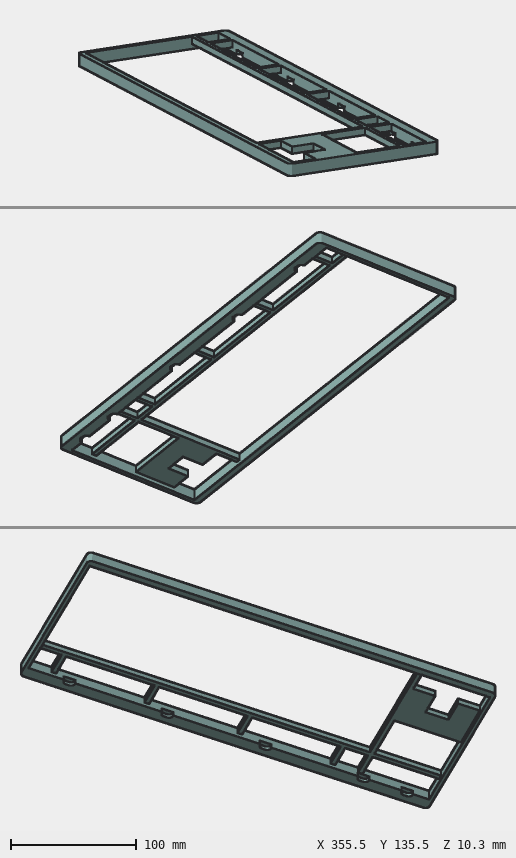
import cadquery as cq

length = 355.5
width = 135.5
height = 10.3
corner_radius = 4.0

main_columns = 15
main_rows = 5
nav_columns = 3
main_length = 286.0
key_pitch = main_length / main_columns
key_clearance = 0.7
block_gap = key_pitch / 4
function_blocks = (1, 4, 4, 4, 1)
front_border = 6.0

rib_clearance = 4.3
notch_length = 10.0
notch_depth = 4.0
notch_height = 4.0
notch_radius = 3.5
notch_spacing = 85.5
notch_row_count = 4
first_notch = -138.7
end_notch = 155.5

grid_length = (main_columns + nav_columns) * key_pitch + block_gap
grid_left = -grid_length / 2
grid_front = -width / 2 + front_border
nav_left = grid_left + main_columns * key_pitch + block_gap
function_front = grid_front + main_rows * key_pitch + block_gap
grid_width = function_front + key_pitch - grid_front
rear_wall = function_front + key_pitch + key_clearance / 2


def clearance_block(left, front, size_x, size_y, size_z):
    """Upright block from the bottom face, enlarged all round by the key play."""
    return (
        cq.Workplane("XY")
        .center(left + size_x / 2, front + size_y / 2)
        .rect(size_x + key_clearance, size_y + key_clearance)
        .extrude(size_z)
    )


def key_opening(left, front, columns, rows):
    """Through opening for a block of keys whose front left corner is given."""
    return clearance_block(left, front, columns * key_pitch, rows * key_pitch, height)


def wall_notch(center_x):
    """Round-cornered notch in the bottom of the rear wall, open to the inside."""
    return (
        cq.Workplane("XY")
        .center(center_x, rear_wall)
        .rect(notch_length, 2 * notch_depth)
        .extrude(notch_height)
        .edges("|Z")
        .fillet(notch_radius)
    )


frame = cq.Workplane("XY").box(length, width, height, centered=(True, True, False))
frame = frame.edges("|Z").fillet(corner_radius)

block_left = grid_left
for columns in function_blocks:
    frame = frame.cut(key_opening(block_left, function_front, columns, 1))
    block_left += columns * key_pitch + block_gap
frame = frame.cut(key_opening(nav_left, function_front, nav_columns, 1))

frame = frame.cut(key_opening(grid_left, grid_front, main_columns, main_rows))

frame = frame.cut(key_opening(nav_left, grid_front + 3 * key_pitch, nav_columns, 2))

frame = frame.cut(key_opening(nav_left, grid_front, nav_columns, 1))
frame = frame.cut(key_opening(nav_left + key_pitch, grid_front, 1, 2))

frame = frame.cut(clearance_block(grid_left, grid_front, grid_length, grid_width, rib_clearance))

notch_centers = [first_notch + i * notch_spacing for i in range(notch_row_count)] + [end_notch]
for center_x in notch_centers:
    frame = frame.cut(wall_notch(center_x))

result = frame